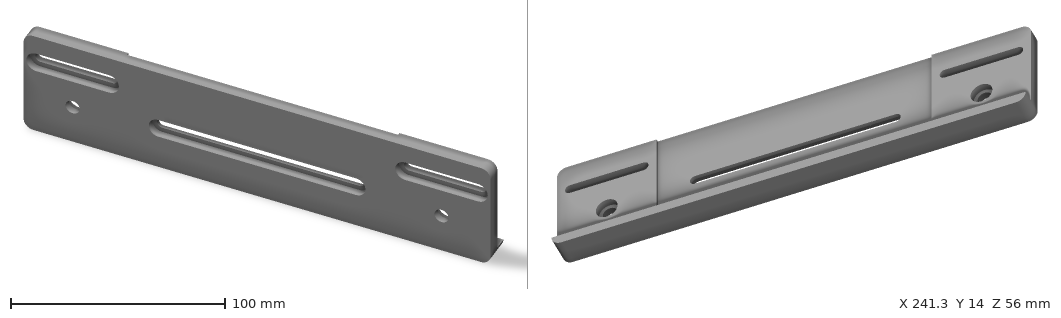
import cadquery as cq

length = 241.3
height = 56.0
plate_thickness = 7.5
corner_radius = 5.0

ledge_depth = 14.0
ledge_height = 5.0

relief_length = 140
relief_bottom = 12
relief_depth = 1.5

slot_width = 5.0
side_groove_width = 10.4
side_slot_length = 42.5
side_groove_length = 47.8
center_groove_width = 10.0
center_slot_length = 107.1
center_groove_length = 112.0
groove_depth = 4.0

side_offset = 95.3
side_slot_z = 40.8
center_slot_z = 23.0
hole_z = 20.5
hole_diameter = 7.2
counterbore_diameter = 11.0
counterbore_depth = 3.9


def front_plane(x, z):
    """Work plane on the front face, pointing into the plate."""
    return cq.Workplane(cq.Plane(origin=(x, 0, z), xDir=(1, 0, 0), normal=(0, 1, 0)))


def stepped_slot(x, z, through_length, groove_length, groove_width):
    """Cutter for a through slot with a wider groove in the front face."""
    through = front_plane(x, z).slot2D(through_length, slot_width).extrude(ledge_depth)
    groove = front_plane(x, z).slot2D(groove_length, groove_width).extrude(groove_depth)
    return through.union(groove)


def counterbored_hole(x, z):
    """Cutter for a through hole counterbored from the back face of the plate."""
    through = front_plane(x, z).circle(hole_diameter / 2).extrude(ledge_depth)
    counterbore = (
        front_plane(x, z)
        .workplane(offset=plate_thickness - counterbore_depth)
        .circle(counterbore_diameter / 2)
        .extrude(counterbore_depth)
    )
    return through.union(counterbore)


def rounded_body():
    """Plate and ledge sharing one outline with rounded corners."""
    block = (
        front_plane(0, height / 2)
        .rect(length, height)
        .extrude(ledge_depth)
        .edges("|Y")
        .fillet(corner_radius)
    )
    space_above_ledge = cq.Workplane("XY").box(
        length,
        ledge_depth - plate_thickness,
        height - ledge_height,
        centered=(True, False, False),
    ).translate((0, plate_thickness, ledge_height))
    return block.cut(space_above_ledge)


def back_relief():
    """Cutter for the shallow relief in the back face."""
    return cq.Workplane("XY").box(
        relief_length,
        relief_depth,
        height - relief_bottom,
        centered=(True, False, False),
    ).translate((0, plate_thickness - relief_depth, relief_bottom))


result = rounded_body().cut(back_relief())
result = result.cut(
    stepped_slot(0, center_slot_z, center_slot_length, center_groove_length, center_groove_width)
)

for x in (-side_offset, side_offset):
    result = result.cut(
        stepped_slot(x, side_slot_z, side_slot_length, side_groove_length, side_groove_width)
    )
    result = result.cut(counterbored_hole(x, hole_z))